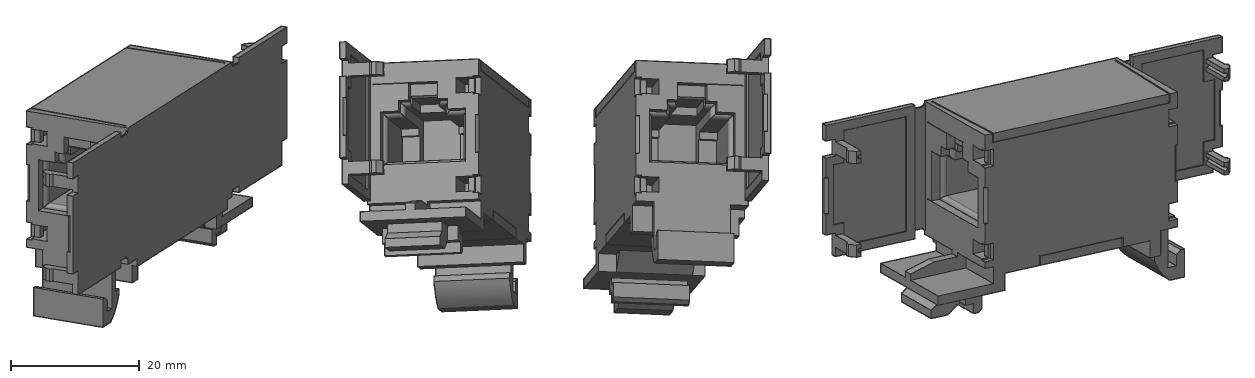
import cadquery as cq


width = 17.8
length = 35.4
height = 23.75
total_length = 72.8
wall = 1.5
end = length / 2
mid_x = width / 2

gap = 0.2
seam = 0.1
hinge_side = 16.9
tongue_taper = 0.65
top_tongue_half = 16.1
bottom_tongue_half = 7.5

flap_thickness = 1.0
flap_start = 20.0
flap_end = total_length / 2
flap_bottom = 1.5
flap_corner = 34.65
film_thickness = 0.3
film_bottom = 2.6
film_top = 22.9
film_flare = 0.45
panel_depth = 0.3
panel_start, panel_end, panel_lip_end = 21.6, 33.05, 35.0
panel_bottom = 3.05
panel_lip_bottom, panel_lip_top = 6.85, 16.9

window_bottoms = (2.6, 18.3)
window_height = 2.85
window_depth = 1.6
window_width = 0.9
pocket_end = 3.6
pocket_margin = 0.2
pocket_depth = 5.8
catch_end = 1.8
catch_start = 1.1
catch_thickness = 1.1
pin_bottoms = (3.05, 18.65)
pin_height = 2.05
pin_inner = 33.35
pin_tip = 11.35
barb_start, barb_end = 12.3, 12.95
barb_crest = 35.0
barb_slope = 0.45
tip_slope = 0.9
pin_groove_radius = 0.4
pin_groove_inset = 0.2
notch_size = 0.5
notch_bottom = 8.95
notch_top = 14.9

mouth_round = 0.7
mouth_bottom = 7.65
mouth_half, mouth_top = 6.8, 16.0
step_half, step_top = 3.9, 17.7
slot_half, slot_top = 2.3, 20.45

insert_bottom = mouth_bottom - wall
insert_shoulder = 18.1
insert_top = 21.1
hump_half = 3.8
jack_depth = 12.4
jack_side_depth = 10.2
jack_strip_depth = 9.5
jack_strip_bottom = 14.1
key_half, key_top, key_depth = 2.1, 18.3, 5.8
key_round = 0.3

front_relief = 1.3
rear_relief = 1.5
relief_start = 16.1
foot_bottom = -2.85
foot_top = -1.3
foot_start, foot_end = 14.05, 26.3
leg_start, leg_end = -12.6, -14.6
gusset_start = 11.2
rib_width = 1.5
rib_top = 0.9
hook_bottom = -6.85
hook_side = 19.5
clip_inner = -16.4
clip_tip = -20.75
clip_catch = -3.9
clip_floor = -6.4
clip_bottom = -8.6
clip_width = 12.1
hook_width = 8.75


def box(x0, x1, y0, y1, z0, z1):
    """Block between two opposite corners."""
    return cq.Workplane("XY").box(x1 - x0, y1 - y0, z1 - z0, centered=False).translate((x0, y0, z0))


def centred_profile(points, thickness):
    """Closed YZ outline extruded to a thickness centred on the middle of the width."""
    outline = cq.Workplane("YZ", origin=(mid_x, 0, 0)).polyline(points).close()
    return outline.extrude(thickness / 2, both=True)


def both_ends(shape):
    """A shape at the +Y end together with its mirror image at the -Y end."""
    return shape.union(shape.mirror("XZ"))


def stepped_outline(y, inset, depth):
    """Jack opening without its key slot, shrunk by an inset and cut from y toward the middle."""
    wide = mouth_half - inset
    narrow = step_half - inset
    points = [
        (mid_x - wide, mouth_bottom + inset),
        (mid_x + wide, mouth_bottom + inset),
        (mid_x + wide, mouth_top - inset),
        (mid_x + narrow, mouth_top - inset),
        (mid_x + narrow, step_top - inset),
        (mid_x - narrow, step_top - inset),
        (mid_x - narrow, mouth_top - inset),
        (mid_x - wide, mouth_top - inset),
    ]
    return cq.Workplane("XZ", origin=(0, y, 0)).polyline(points).close().extrude(depth)


def insert_envelope():
    """Outer block of the insert, with a narrower hump on top."""
    half_length = end - wall
    block = box(wall, width - wall, -half_length, half_length, insert_bottom, insert_shoulder)
    hump = box(mid_x - hump_half, mid_x + hump_half, -half_length, half_length, insert_shoulder, insert_top)
    return block.union(hump)


def jack_cavity():
    """Stepped plug cavity at the +Y end: side shoulders, a deeper middle and a shallow key slot."""
    face = end - wall
    half = step_half - mouth_round
    side_half = mouth_half - mouth_round
    bottom = mouth_bottom + mouth_round
    top = mouth_top - mouth_round
    cavity = stepped_outline(face, mouth_round, jack_strip_depth)
    cavity = cavity.union(
        box(mid_x - side_half, mid_x + side_half, face - jack_side_depth, face, bottom, jack_strip_bottom)
    )
    middle = box(mid_x - half, mid_x + half, face - jack_depth, face, bottom, step_top - mouth_round)
    return cavity.union(middle).union(
        box(mid_x - key_half, mid_x + key_half, face - key_depth, face, top, key_top)
    )


def round_mouth(body, y):
    """Rounds the edges around the jack mouth on the insert face at y."""
    side_half = mouth_half - mouth_round
    reach = 0.1
    mouth = cq.selectors.BoxSelector(
        (mid_x - side_half - reach, y - reach, mouth_bottom),
        (mid_x + side_half + reach, y + reach, step_top - mouth_round + reach),
    )
    return body.edges(mouth).fillet(mouth_round)


def key_flare():
    """Chamfered mouth of the key slot at the +Y end."""
    height_at_face = 2 * key_round + key_top - jack_strip_bottom
    return (
        cq.Workplane("XZ", origin=(mid_x, end - wall, key_top + key_round - height_at_face / 2))
        .rect(2 * (key_half + key_round), height_at_face)
        .extrude(key_round, taper=45)
    )


def make_insert():
    body = insert_envelope().cut(both_ends(jack_cavity()))
    for face_y in (end - wall, wall - end):
        body = round_mouth(body, face_y)
    return body.cut(both_ends(key_flare()))


def housing_shell():
    """Box with raised end undersides, hollowed to hold the insert."""
    shell = box(0, width, -end, end, 0, height)
    shell = shell.cut(box(0, width, -end, leg_end, 0, front_relief))
    shell = shell.cut(box(0, width, relief_start, end, 0, rear_relief))
    return shell.cut(insert_envelope())


def end_openings():
    """Jack opening with its key slot through an end wall, and the gaps beside it."""
    inner = end - wall
    opening = stepped_outline(end, 0, wall)
    opening = opening.union(box(mid_x - slot_half, mid_x + slot_half, inner, end, mouth_top, slot_top))
    for start, z in ((mid_x + mouth_half, mouth_bottom), (mid_x + slot_half, slot_top - seam)):
        opening = opening.union(box(start, hinge_side, inner, end, z, z + seam))
    return both_ends(opening)


def tongue_gaps(half, bottom, seam_z):
    """Two tapering gaps beside a tongue, and a seam below or above its tip."""
    slit = (
        cq.Workplane("XY", origin=(0, 0, bottom))
        .polyline([
            (0, half),
            (hinge_side, half + tongue_taper),
            (hinge_side, half + tongue_taper + gap),
            (0, half + gap),
        ])
        .close()
        .extrude(wall)
    )
    return both_ends(slit).union(box(0, wall, -half, half, seam_z, seam_z + seam))


def latch_window(bottom):
    """Window and pocket at the +Y end, with a catch left standing for the pin's barb."""
    top = bottom + window_height
    window = box(0, window_width, end - window_depth, end, bottom, top)
    pocket_bottom = bottom + pocket_margin
    pocket_top = top - pocket_margin
    pocket = box(window_width, pocket_end, end - pocket_depth, end, pocket_bottom, pocket_top)
    catch_face = end - catch_start
    catch = box(window_width, catch_end, catch_face - catch_thickness, catch_face, bottom, top)
    return window.union(pocket.cut(catch))


def finger_notch(x, y):
    """Triangular prism that chamfers part of a vertical edge at (x, y)."""
    return (
        cq.Workplane("XY", origin=(x, y, notch_bottom))
        .polyline([(0, 0), (notch_size, 0), (0, -notch_size)])
        .close()
        .extrude(notch_top - notch_bottom)
    )


def flap_plate():
    """Flap at the +Y end with cut corners, a recessed inner panel and a finger notch."""
    inner = width - flap_thickness
    plate = box(inner, width, flap_start, flap_end, flap_bottom, height)
    lower, upper = window_bottoms
    for z0, z1 in ((flap_bottom, lower + window_height), (upper, upper + window_height)):
        plate = plate.cut(box(inner, width, flap_corner, flap_end, z0, z1))
    panel = box(inner, inner + panel_depth, panel_start, panel_end, panel_bottom, height - wall)
    lip = box(inner, inner + panel_depth, panel_end, panel_lip_end, panel_lip_bottom, panel_lip_top)
    return plate.cut(panel).cut(lip).cut(finger_notch(inner, flap_end))


def hinge_film():
    """Thin strip joining the flap to the housing, flared where it meets the housing."""
    return (
        cq.Workplane("YZ", origin=(width - film_thickness, 0, 0))
        .polyline([
            (end, film_bottom - film_flare),
            (end + film_flare, film_bottom),
            (flap_start, film_bottom),
            (flap_start, film_top),
            (end + film_flare, film_top),
            (end, film_top + film_flare),
        ])
        .close()
        .extrude(film_thickness)
    )


def latch_pin(bottom):
    """Barbed pin standing on the flap, grooved along its inner face."""
    root = width - flap_thickness
    pin = (
        cq.Workplane("XY", origin=(0, 0, bottom))
        .polyline([
            (root, pin_inner),
            (root, flap_corner),
            (barb_end + barb_slope, flap_corner),
            (barb_end, barb_crest),
            (barb_start, barb_crest),
            (pin_tip, barb_crest - tip_slope),
            (pin_tip, pin_inner),
        ])
        .close()
        .extrude(pin_height)
    )
    groove = (
        cq.Workplane("YZ", origin=(0, pin_inner + pin_groove_inset, bottom + pin_height / 2))
        .circle(pin_groove_radius)
        .extrude(root)
    )
    return pin.cut(groove)


def make_flap():
    flap = flap_plate().union(hinge_film())
    for bottom in pin_bottoms:
        flap = flap.union(latch_pin(bottom))
    return flap


def rear_foot():
    """Plate behind the housing with its web, rib, gusset and the two rail hooks below it."""
    foot = box(0, hinge_side, foot_start, foot_end, foot_bottom, foot_top)
    foot = foot.union(box(0, hinge_side, foot_start, relief_start, foot_bottom, 0))
    rib = centred_profile(
        [
            (relief_start, foot_top),
            (foot_end, foot_top),
            (foot_end, -0.3),
            (21.9, rib_top),
            (end, rib_top),
            (end, rear_relief),
            (relief_start, rear_relief),
        ],
        rib_width,
    )
    gusset = centred_profile([(gusset_start, 0), (foot_start, 0), (foot_start, foot_bottom)], clip_width)
    hook = centred_profile(
        [
            (23.15, foot_bottom),
            (23.15, -4.3),
            (24.75, -5.45),
            (24.75, hook_bottom),
            (21.7, hook_bottom),
            (hook_side, -5.25),
            (hook_side, foot_bottom),
        ],
        hook_width,
    )
    spur = centred_profile(
        [
            (hook_side, foot_bottom),
            (hook_side, -5.2),
            (18.0, -5.2),
            (18.0, hook_bottom),
            (17.1, hook_bottom),
            (16.45, -6.25),
            (16.45, clip_catch),
            (18.1, clip_catch),
            (18.1, foot_bottom),
        ],
        clip_width,
    )
    for piece in (rib, gusset, hook, spur):
        foot = foot.union(piece)
    return foot


def front_clip():
    """Springy hook that hangs from the front wall."""
    return (
        cq.Workplane("YZ", origin=(mid_x, 0, 0))
        .moveTo(-end, front_relief)
        .lineTo(clip_inner, front_relief)
        .lineTo(clip_inner, clip_catch)
        .lineTo(-15.2, clip_catch)
        .lineTo(-15.2, -4.8)
        .threePointArc((-16.25, -6.8), (-18.05, clip_bottom))
        .lineTo(clip_tip, clip_bottom)
        .lineTo(clip_tip, clip_catch)
        .lineTo(-20.1, clip_catch)
        .lineTo(-19.2, -4.6)
        .lineTo(-19.2, clip_floor)
        .lineTo(-end, clip_floor)
        .close()
        .extrude(clip_width / 2, both=True)
    )


def make_housing():
    body = housing_shell().cut(end_openings())
    body = body.cut(tongue_gaps(top_tongue_half, height - wall, height - wall))
    body = body.cut(tongue_gaps(bottom_tongue_half, 0, wall))
    for bottom in window_bottoms:
        body = body.cut(both_ends(latch_window(bottom)))
    body = body.cut(both_ends(finger_notch(0, end)))
    body = body.union(both_ends(make_flap()))
    body = body.union(box(0, hinge_side, leg_end, leg_start, foot_bottom, 0))
    return body.union(rear_foot()).union(front_clip())


housing = make_housing()
insert = make_insert()
result = cq.Compound.makeCompound([housing.val(), insert.val()])